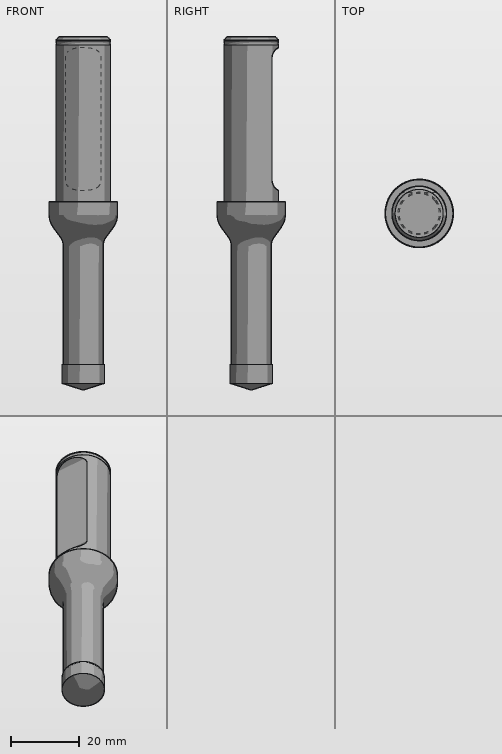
import cadquery as cq
import math


shank_radius = 15.99 / 2
shank_length = 48.0
shank_chamfer = 1.0
ring_groove_top = shank_length - 1.3
ring_groove_width = 1.2
ring_groove_arc_radius = 2.6 / 2

flat_offset = 6.1
flat_end_margin = 3.2
flat_runout_radius = 3.3

flange_radius = 20.0 / 2
flange_height = 4.0
flange_chamfer = 0.2
taper_shoulder_radius = 9.55
taper_shoulder_depth = 6.2
taper_end_angle = 34.0
taper_end_radius = 6.5
taper_end_depth = 10.65
neck_radius = 11.7 / 2
neck_top_depth = 13.0

head_radius = 12.4 / 2
head_top_depth = 47.5
head_length = 5.5
point_height = 2.0


def tangent_arc_radius(sideways, along):
    """Radius of an arc that is parallel to the axis at one end and spans the two given distances."""
    return (along**2 + sideways**2) / (2 * sideways)


def holder_profile():
    """Half section of the holder as (radius, height), from the top centre to the bottom centre."""
    groove_bottom = ring_groove_top - ring_groove_width
    half_width = ring_groove_width / 2
    groove_depth = ring_groove_arc_radius - math.sqrt(ring_groove_arc_radius**2 - half_width**2)

    straight_down = (0, -1)
    taper_slope = math.radians(taper_end_angle)
    taper_end_direction = (-math.sin(taper_slope), -math.cos(taper_slope))
    neck_arc_radius = tangent_arc_radius(taper_end_radius - neck_radius, neck_top_depth - taper_end_depth)
    return (
        cq.Workplane("XZ")
        .moveTo(0, shank_length)
        .lineTo(shank_radius - shank_chamfer, shank_length)
        .lineTo(shank_radius, shank_length - shank_chamfer)
        .lineTo(shank_radius, ring_groove_top)
        .threePointArc(
            (shank_radius - groove_depth, ring_groove_top - half_width),
            (shank_radius, groove_bottom),
        )
        .lineTo(shank_radius, 0)
        .lineTo(flange_radius - flange_chamfer, 0)
        .lineTo(flange_radius, -flange_chamfer)
        .lineTo(flange_radius, -flange_height)
        .spline(
            [(taper_shoulder_radius, -taper_shoulder_depth), (taper_end_radius, -taper_end_depth)],
            tangents=[straight_down, taper_end_direction],
            includeCurrent=True,
        )
        .radiusArc((neck_radius, -neck_top_depth), -neck_arc_radius)
        .lineTo(neck_radius, -head_top_depth)
        .lineTo(0, -head_top_depth)
        .close()
    )


def flat_cutter():
    """Block that cuts the clamping flat and leaves a concave run-out at both of its ends."""
    bottom = flat_end_margin
    top = shank_length - flat_end_margin
    cut_depth = shank_radius - flat_offset
    runout_length = math.sqrt(2 * flat_runout_radius * cut_depth - cut_depth**2)
    outside = flange_radius
    return (
        cq.Workplane("YZ")
        .moveTo(outside, bottom)
        .lineTo(shank_radius, bottom)
        .radiusArc((flat_offset, bottom + runout_length), flat_runout_radius)
        .lineTo(flat_offset, top - runout_length)
        .radiusArc((shank_radius, top), flat_runout_radius)
        .lineTo(outside, top)
        .close()
        .extrude(shank_radius, both=True)
    )


def make_holder():
    holder = holder_profile().revolve(360, (0, 0, 0), (0, 1, 0))
    return holder.cut(flat_cutter())


def make_drill_head():
    """Cylindrical head with a conical point, seated on the end face of the neck."""
    shoulder = -head_top_depth - head_length
    return (
        cq.Workplane("XZ")
        .moveTo(0, -head_top_depth)
        .lineTo(head_radius, -head_top_depth)
        .lineTo(head_radius, shoulder)
        .lineTo(0, shoulder - point_height)
        .close()
        .revolve(360, (0, 0, 0), (0, 1, 0))
    )


holder = make_holder()
drill_head = make_drill_head()

result = cq.Compound.makeCompound([holder.val(), drill_head.val()])